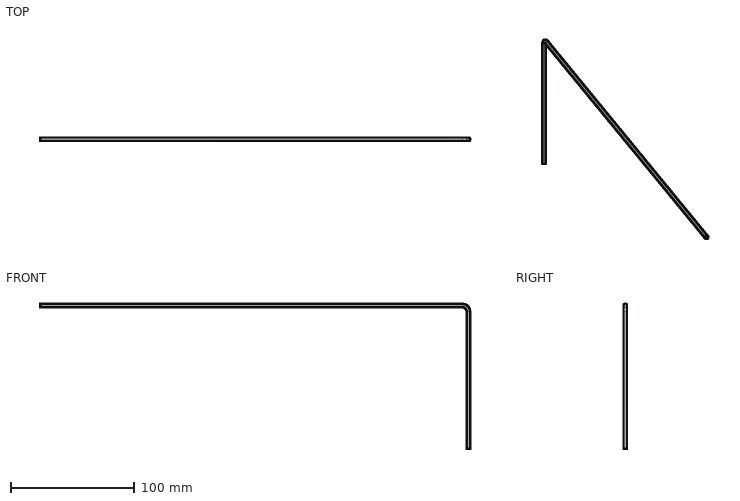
import cadquery as cq

rod_diameter = 3.0
overall_length = 349.5
overall_height = 118.0
bend_radius = 5.0

rod_radius = rod_diameter / 2
long_leg_reach = overall_length - rod_radius
short_leg_reach = overall_height - rod_radius
long_leg_length = long_leg_reach - bend_radius
short_leg_length = short_leg_reach - bend_radius


def make_long_leg():
    """Horizontal leg, from its free end along +X to the bend."""
    end_plane = cq.Workplane("YZ", origin=(-long_leg_reach, 0, 0))
    return end_plane.circle(rod_radius).extrude(long_leg_length)


def make_bend():
    """Quarter-turn elbow joining the two legs."""
    start_plane = cq.Workplane("YZ", origin=(-bend_radius, 0, 0))
    return start_plane.circle(rod_radius).revolve(90, (0, -bend_radius), (1, -bend_radius))


def make_short_leg():
    """Vertical leg, from its free end along +Z to the bend."""
    end_plane = cq.Workplane("XY", origin=(0, 0, -short_leg_reach))
    return end_plane.circle(rod_radius).extrude(short_leg_length)


result = make_long_leg().union(make_bend()).union(make_short_leg())